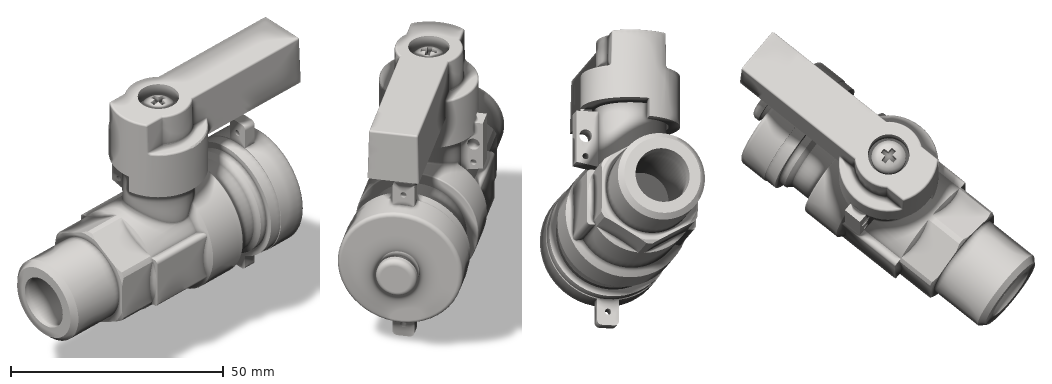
import cadquery as cq
import math


TOLERANCE = 0.01

THREAD_END_Y = -36.9
HEX_START_Y = -22.5
HEX_END_Y = -12.7
CONE_END_Y = 2.0
COLLAR_START_Y = 3.8
COLLAR_END_Y = 12.05
FLANGE_END_Y = 13.5
NECK_END_Y = 19.5
SHOULDER_START_Y = 20.7
NUT_START_Y = 22.5
NUT_STEP_Y = 25.5
NUT_END_Y = 33.0
PLUG_FLANGE_END_Y = 33.5
PLUG_HEAD_START_Y = 35.5
PLUG_END_Y = 37.7

THREAD_DIA = 20.9
THREAD_CHAMFER = 1.3
BORE_DIA = 13.0
HEX_FLATS = 23.0
HEX_CORNER_DIA = 25.8
HEX_CHAMFER_RUN = 0.5
HEX_CHAMFER_RISE = 0.8
HEX_CONE_RUN = 1.2
HEX_CONE_DROP = 1.85
BARREL_DIA = 25.7
COLLAR_DIA = 29.5
COLLAR_FILLET = 0.3
NECK_DIA = 23.95
SHOULDER_DIA = 26.3
NUT_DIA = 30.0
NUT_FILLET = 0.9
PLUG_DIA = 9.7
PLUG_NECK_DIA = 8.0
PLUG_FILLET = 1.2

PAD_WIDTH_X = 26.2
PAD_HEIGHT_Z = 13.3
PAD_FILLET = 0.9

STEM_DIA = 17.0
STEM_TOP_Z = 24.6
STEM_ROOT_FILLET = 0.4
LUG_OUTER_X = -13.45
LUG_THICKNESS = 4.55
LUG_TOP_Z = 23.4
LUG_BOTTOM_Z = 11.05
LUG_BOTTOM_DROP = 0.9
LUG_HOLE_X = -11.2
LUG_LARGE_HOLE_DIA = 3.0
LUG_LARGE_HOLE_Z = 17.45
LUG_SMALL_HOLE_DIA = 1.5
LUG_SMALL_HOLE_Z = 12.5

TAB_WIDTH = 5.25
TAB_END_Y = 28.6
TAB_REACH = 21.0
TAB_FILLET = 1.15
TAB_HOLE_DIA = 1.5
TAB_HOLE_Z = 17.8

HANDLE_TOP_Z = 41.5
DISC_TOP_Z = 33.15
DISC_BOTTOM_Z = 25.0
SKIRT_BOTTOM_Z = 20.7
DISC_DIA = 23.4
SKIRT_INNER_DIA = 18.0
SKIRT_GAP_X = 2.2
SKIRT_GAP_Y = 2.3
LEVER_TIP_Y = 40.3
LEVER_BOTTOM_Z = 28.6
LEVER_WIDTH = 12.35
BOSS_DIA = 16.45
NOSE_WIDTH = 13.3
HANDLE_DRAFT = 1.4
HANDLE_FILLET = 0.5

COUNTERBORE_DIA = 9.7
COUNTERBORE_DEPTH = 3.7
SCREW_HEAD_DIA = 8.0
SCREW_EDGE_DEPTH = 2.6
SCREW_CROWN_DEPTH = 0.8
SCREW_SHANK_DIA = 4.9
SCREW_TIP_Z = 18.55
CROSS_LENGTH = 3.9
CROSS_WIDTH = 1.2
CROSS_DEPTH = 1.9


def pipe_cylinder(diameter, start_y, end_y):
    """Cylinder on the pipe axis between two Y stations."""
    return cq.Workplane("XZ", origin=(0, start_y, 0)).circle(diameter / 2).extrude(start_y - end_y)


def pipe_cone(start_dia, end_dia, start_y, end_y):
    """Truncated cone on the pipe axis between two Y stations."""
    profile = [(0, start_y), (start_dia / 2, start_y), (end_dia / 2, end_y), (0, end_y)]
    return cq.Workplane("XY").polyline(profile).close().revolve(360, (0, 0, 0), (0, 1, 0))


def stem_cylinder(diameter, bottom_z, top_z):
    """Cylinder on the stem axis between two heights."""
    return cq.Workplane("XY", origin=(0, 0, bottom_z)).circle(diameter / 2).extrude(top_z - bottom_z)


def cross_hole(diameter, x, z, start_y, end_y):
    """Cutter for a small sealing-wire hole parallel to the pipe."""
    return pipe_cylinder(diameter, start_y, end_y).translate((x, 0, z))


def box_between(x_range, y_range, z_range):
    """Box from its three ranges."""
    corner = (x_range[0], y_range[0], z_range[0])
    return cq.Workplane("XY").box(
        x_range[1] - x_range[0],
        y_range[1] - y_range[0],
        z_range[1] - z_range[0],
        centered=False,
    ).translate(corner)


def on_stem_circle(edge, diameter):
    """Whether an edge lies on a cylinder of this diameter around the stem axis."""
    points = edge.positions([0.2, 0.5, 0.8])
    return all(abs(math.hypot(p.x, p.y) - diameter / 2) < TOLERANCE for p in points)




def make_hex():
    """Hexagon with trimmed corners, a chamfered outer end and a cone leading to the barrel."""
    corner_circle = HEX_FLATS / math.cos(math.pi / 6)
    hexagon = (
        cq.Workplane("XZ", origin=(0, HEX_START_Y, 0))
        .polygon(6, corner_circle)
        .extrude(HEX_START_Y - HEX_END_Y)
        .rotate((0, 0, 0), (0, 1, 0), 30)
    )
    chamfer_end_y = HEX_START_Y + HEX_CHAMFER_RUN
    chamfer_dia = HEX_CORNER_DIA - 2 * HEX_CHAMFER_RISE
    envelope = pipe_cone(chamfer_dia, HEX_CORNER_DIA, HEX_START_Y, chamfer_end_y).union(
        pipe_cylinder(HEX_CORNER_DIA, chamfer_end_y, HEX_END_Y)
    )
    cone_dia = BARREL_DIA - 2 * HEX_CONE_DROP
    return hexagon.intersect(envelope).union(
        pipe_cone(cone_dia, BARREL_DIA, HEX_END_Y - HEX_CONE_RUN, HEX_END_Y)
    )


def make_lug():
    """Sealing lug beside the stem, with a sloping underside."""
    slope_length = -LUG_OUTER_X
    slope = LUG_BOTTOM_DROP / (STEM_DIA / 2 + LUG_OUTER_X)
    outline = [
        (LUG_OUTER_X, LUG_TOP_Z),
        (0, LUG_TOP_Z),
        (0, LUG_BOTTOM_Z + slope * slope_length),
        (LUG_OUTER_X, LUG_BOTTOM_Z),
    ]
    return (
        cq.Workplane("XZ", origin=(0, LUG_THICKNESS / 2, 0)).polyline(outline).close().extrude(LUG_THICKNESS)
    )


def make_valve_body():
    """Barrel, collar, stem housing, hexagon and threaded end."""
    barrel = pipe_cylinder(BARREL_DIA, HEX_END_Y, CONE_END_Y)
    cone = pipe_cone(BARREL_DIA, COLLAR_DIA, CONE_END_Y, COLLAR_START_Y)
    collar = pipe_cylinder(COLLAR_DIA, COLLAR_START_Y, COLLAR_END_Y)
    core = barrel.union(cone).union(collar)
    stem = stem_cylinder(STEM_DIA, 0, STEM_TOP_Z)
    body = core.union(stem)
    stem_root = body.edges("not |Z").filter(
        lambda edge: on_stem_circle(edge, STEM_DIA) and 0 < edge.Center().z < STEM_TOP_Z - TOLERANCE
    )
    body = stem_root.fillet(STEM_ROOT_FILLET)

    pad = box_between(
        (-PAD_WIDTH_X / 2, PAD_WIDTH_X / 2),
        (HEX_END_Y, COLLAR_START_Y),
        (-PAD_HEIGHT_Z / 2, PAD_HEIGHT_Z / 2),
    )
    pad = pad.edges("|Y").fillet(PAD_FILLET)
    thread = pipe_cylinder(THREAD_DIA, THREAD_END_Y, HEX_START_Y).faces("<Y").chamfer(THREAD_CHAMFER)
    body = body.union(pad).union(make_hex()).union(thread).union(make_lug())

    bore = pipe_cylinder(BORE_DIA, THREAD_END_Y, HEX_END_Y)
    screw_hole = stem_cylinder(SCREW_SHANK_DIA, SCREW_TIP_Z, STEM_TOP_Z)
    body = body.cut(bore).cut(screw_hole)
    for diameter, z in (
        (LUG_LARGE_HOLE_DIA, LUG_LARGE_HOLE_Z),
        (LUG_SMALL_HOLE_DIA, LUG_SMALL_HOLE_Z),
    ):
        body = body.cut(cross_hole(diameter, LUG_HOLE_X, z, -LUG_THICKNESS / 2, LUG_THICKNESS / 2))
    return body




def make_tail_piece():
    """Flanged neck screwed to the body, with a shoulder that seats in the nut."""
    flange = pipe_cylinder(COLLAR_DIA, COLLAR_END_Y, FLANGE_END_Y).faces(">Y").edges().fillet(COLLAR_FILLET)
    neck = pipe_cylinder(NECK_DIA, FLANGE_END_Y, NECK_END_Y)
    cone = pipe_cone(NECK_DIA, SHOULDER_DIA, NECK_END_Y, SHOULDER_START_Y)
    shoulder = pipe_cylinder(SHOULDER_DIA, SHOULDER_START_Y, NUT_STEP_Y)
    return flange.union(neck).union(cone).union(shoulder)




def make_tab():
    """Upward sealing tab with a wire hole, rooted inside the nut."""
    tab = box_between((-TAB_WIDTH / 2, TAB_WIDTH / 2), (NUT_STEP_Y, TAB_END_Y), (SHOULDER_DIA / 2, TAB_REACH))
    tab = tab.faces(">Z").edges("|Y").fillet(TAB_FILLET)
    return tab.cut(cross_hole(TAB_HOLE_DIA, 0, TAB_HOLE_Z, NUT_STEP_Y, TAB_END_Y))


def make_nut():
    """Stepped round nut with two opposite sealing tabs."""
    nut = pipe_cylinder(NUT_DIA, NUT_STEP_Y, NUT_END_Y).faces(">Y").edges().fillet(NUT_FILLET)
    nut = nut.union(pipe_cylinder(COLLAR_DIA, NUT_START_Y, NUT_STEP_Y))
    for angle in (0, 180):
        nut = nut.union(make_tab().rotate((0, 0, 0), (0, 1, 0), angle))
    shoulder_recess = pipe_cylinder(SHOULDER_DIA, NUT_START_Y, NUT_STEP_Y)
    plug_hole = pipe_cylinder(PLUG_DIA, NUT_STEP_Y, NUT_END_Y)
    return nut.cut(shoulder_recess).cut(plug_hole)




def make_plug():
    """Grooved plug through the nut, resting on the tail piece."""
    base = pipe_cylinder(PLUG_DIA, NUT_STEP_Y, PLUG_FLANGE_END_Y)
    neck = pipe_cylinder(PLUG_NECK_DIA, PLUG_FLANGE_END_Y, PLUG_HEAD_START_Y)
    head = pipe_cylinder(PLUG_DIA, PLUG_HEAD_START_Y, PLUG_END_Y).faces(">Y").edges().fillet(PLUG_FILLET)
    return base.union(neck).union(head)




def drafted_block(width, start_y, end_y, bottom_z):
    """Block up to the handle top whose walls lean inwards by the draft angle."""
    return (
        cq.Workplane("XY", origin=(0, (start_y + end_y) / 2, bottom_z))
        .rect(width, end_y - start_y)
        .extrude(HANDLE_TOP_Z - bottom_z, taper=HANDLE_DRAFT)
    )


def make_grip():
    """Lever, round boss and front nose with one rounded top edge."""
    lever = drafted_block(LEVER_WIDTH, 0, LEVER_TIP_Y, LEVER_BOTTOM_Z)
    lever = lever.faces(">Y").edges("not #Z").fillet(HANDLE_FILLET)
    boss = (
        cq.Workplane("XY", origin=(0, 0, DISC_TOP_Z))
        .circle(BOSS_DIA / 2)
        .extrude(HANDLE_TOP_Z - DISC_TOP_Z, taper=HANDLE_DRAFT)
    )
    nose = drafted_block(NOSE_WIDTH, -DISC_DIA, 0, DISC_TOP_Z)
    nose = nose.intersect(stem_cylinder(DISC_DIA, DISC_TOP_Z, HANDLE_TOP_Z))
    grip = lever.union(boss).union(nose)
    return grip.faces(">Z").edges().fillet(HANDLE_FILLET)


def disc_top_box():
    """Selector for edges lying in the plane of the disc top."""
    return cq.selectors.BoxSelector(
        (-DISC_DIA, -DISC_DIA, DISC_TOP_Z - TOLERANCE),
        (DISC_DIA, DISC_DIA, DISC_TOP_Z + TOLERANCE),
    )


def make_handle():
    """Grip on a disc with a partial stop skirt, bored for the screw."""
    disc = stem_cylinder(DISC_DIA, DISC_BOTTOM_Z, DISC_TOP_Z)
    handle = disc.union(make_grip())
    handle = handle.edges(disc_top_box()).filter(lambda edge: not on_stem_circle(edge, DISC_DIA))
    handle = handle.fillet(HANDLE_FILLET)
    handle = handle.edges(disc_top_box()).filter(lambda edge: on_stem_circle(edge, DISC_DIA))
    handle = handle.fillet(HANDLE_FILLET)

    skirt = stem_cylinder(DISC_DIA, SKIRT_BOTTOM_Z, DISC_BOTTOM_Z)
    skirt = skirt.cut(stem_cylinder(SKIRT_INNER_DIA, SKIRT_BOTTOM_Z, DISC_BOTTOM_Z))
    skirt_gap = box_between(
        (-DISC_DIA, SKIRT_GAP_X), (-DISC_DIA, SKIRT_GAP_Y), (SKIRT_BOTTOM_Z, DISC_BOTTOM_Z)
    )
    counterbore = stem_cylinder(COUNTERBORE_DIA, HANDLE_TOP_Z - COUNTERBORE_DEPTH, HANDLE_TOP_Z)
    screw_hole = stem_cylinder(SCREW_SHANK_DIA, DISC_BOTTOM_Z, HANDLE_TOP_Z)
    return handle.union(skirt.cut(skirt_gap)).cut(counterbore).cut(screw_hole)




def make_screw():
    """Domed screw with a cross recess, going through the handle into the stem housing."""
    radius = SCREW_HEAD_DIA / 2
    seat_z = HANDLE_TOP_Z - COUNTERBORE_DEPTH
    edge_z = HANDLE_TOP_Z - SCREW_EDGE_DEPTH
    crown_z = HANDLE_TOP_Z - SCREW_CROWN_DEPTH
    crown_height = crown_z - edge_z
    dome_radius = (radius**2 + crown_height**2) / (2 * crown_height)
    half_angle = math.asin(radius / dome_radius) / 2
    dome_middle = (
        dome_radius * math.sin(half_angle),
        crown_z - dome_radius * (1 - math.cos(half_angle)),
    )
    head = (
        cq.Workplane("XZ")
        .moveTo(0, seat_z)
        .lineTo(radius, seat_z)
        .lineTo(radius, edge_z)
        .threePointArc(dome_middle, (0, crown_z))
        .close()
        .revolve(360, (0, 0, 0), (0, 1, 0))
    )
    screw = head.union(stem_cylinder(SCREW_SHANK_DIA, SCREW_TIP_Z, seat_z))
    for length_x, length_y in ((CROSS_LENGTH, CROSS_WIDTH), (CROSS_WIDTH, CROSS_LENGTH)):
        slot = cq.Workplane("XY", origin=(0, 0, crown_z)).rect(length_x, length_y).extrude(-CROSS_DEPTH)
        screw = screw.cut(slot)
    return screw


valve_body = make_valve_body()
tail_piece = make_tail_piece()
nut = make_nut()
plug = make_plug()
handle = make_handle()
screw = make_screw()

result = cq.Compound.makeCompound(
    [
        valve_body.val(),
        tail_piece.val(),
        nut.val(),
        plug.val(),
        handle.val(),
        screw.val(),
    ]
)